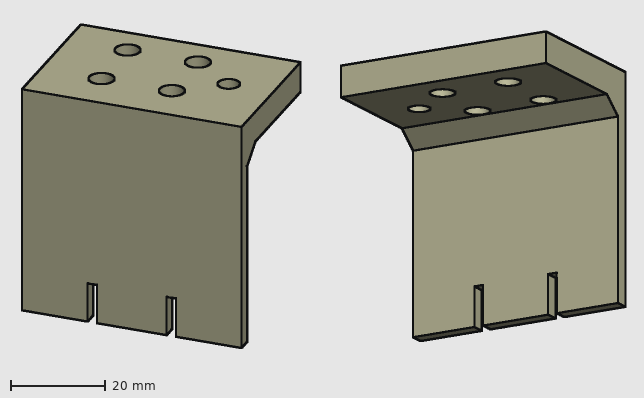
import cadquery as cq

width = 50.0
depth = 34.0
height = 52.0
plate_thickness = 7.0
wall_thickness = 3.3

brace_depth = 4.8
brace_height = 3.7

slot_width = 2.1
slot_height = 9.0
slot_pitch = 18.0
first_slot_x = 16.0

large_diameter = 5.5
small_diameter = 4.8
hole_pitch_x = 16.0
hole_pitch_y = 15.0
first_hole_x = 13.8
first_hole_y = 11.0
small_hole_x = 39.8

plate_bottom = height - plate_thickness


def make_bracket():
    """L-shaped profile with the corner brace, extruded across the width."""
    profile = [
        (0, 0),
        (wall_thickness, 0),
        (wall_thickness, plate_bottom - brace_height),
        (wall_thickness + brace_depth, plate_bottom),
        (depth, plate_bottom),
        (depth, height),
        (0, height),
    ]
    return cq.Workplane("YZ").polyline(profile).close().extrude(width)


def make_slot(index):
    """Cutter for one slot, open at the lower edge of the wall."""
    slot = cq.Workplane("XY").box(slot_width, wall_thickness, slot_height, centered=(True, False, False))
    return slot.translate((first_slot_x + index * slot_pitch, 0, 0))


def make_holes(diameter, points):
    """Cutters for vertical holes through the plate."""
    holes = cq.Workplane("XY").pushPoints(points).circle(diameter / 2)
    return holes.extrude(height)


large_points = [
    (first_hole_x + column * hole_pitch_x, first_hole_y + row * hole_pitch_y)
    for column in range(2)
    for row in range(2)
]
small_point = (small_hole_x, first_hole_y + hole_pitch_y / 2)

result = make_bracket()
for slot_index in range(2):
    result = result.cut(make_slot(slot_index))
result = result.cut(make_holes(large_diameter, large_points))
result = result.cut(make_holes(small_diameter, [small_point]))